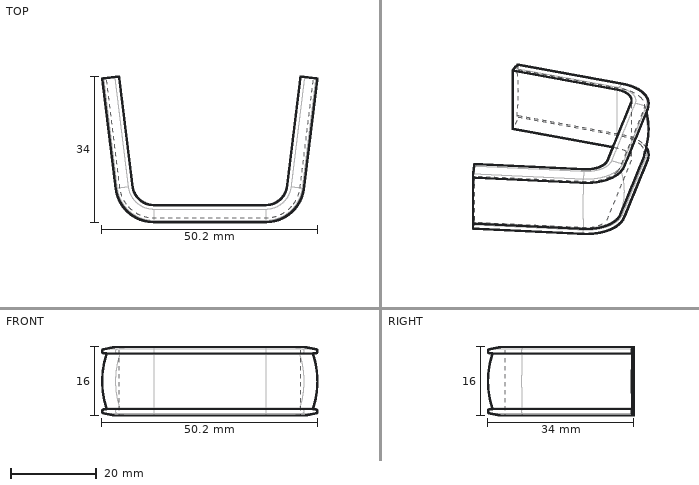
import cadquery as cq
import math

width = 50.25
depth = 34.0
height = 16.0

wall = 4.0
outer_bend_radius = 9.0
inner_bend_radius = outer_bend_radius - wall
leg_flare_degrees = 7.0
leg_flare = math.radians(leg_flare_degrees)

leg_rise = depth - outer_bend_radius + inner_bend_radius * math.sin(leg_flare)
leg_length = leg_rise / math.cos(leg_flare)
outer_reach = outer_bend_radius * math.cos(leg_flare) + leg_length * math.sin(leg_flare)
half_base = width / 2 - outer_reach

rim_flat = 1.0
lip_radius = 0.5
neck_height = 0.3
belly_radius = 20.1

half_height = height / 2
lip_center_out = wall - lip_radius
lip_center_up = half_height - 2 * lip_radius
lip_underside = lip_center_up - lip_radius
belly_half_height = lip_underside - neck_height
belly_bulge = belly_radius - math.sqrt(belly_radius**2 - belly_half_height**2)
neck_out = wall - belly_bulge


def lip_tangent_point():
    """Point (out, up) where the sloping rim meets the upper lip tangentially."""
    run = lip_center_out - rim_flat
    drop = half_height - lip_center_up
    slope = math.atan2(drop, run) - math.asin(lip_radius / math.hypot(run, drop))
    return (
        lip_center_out + lip_radius * math.sin(slope),
        lip_center_up + lip_radius * math.cos(slope),
    )


def wall_section():
    """Closed wall profile in the YZ plane, inner face at y = 0 and outer face toward -Y."""
    rim_out, rim_up = lip_tangent_point()
    return (
        cq.Workplane("YZ")
        .moveTo(0, -half_height)
        .lineTo(0, half_height)
        .lineTo(-rim_flat, half_height)
        .lineTo(-rim_out, rim_up)
        .threePointArc((-wall, lip_center_up), (-lip_center_out, lip_underside))
        .lineTo(-neck_out, lip_underside)
        .lineTo(-neck_out, belly_half_height)
        .threePointArc((-wall, 0), (-neck_out, -belly_half_height))
        .lineTo(-neck_out, -lip_underside)
        .lineTo(-lip_center_out, -lip_underside)
        .threePointArc((-wall, -lip_center_up), (-rim_out, -rim_up))
        .lineTo(-rim_flat, -half_height)
        .close()
    )


def right_half():
    """Half the base, one bend and one leg, with the same wall section throughout."""
    bend_degrees = 90 - leg_flare_degrees
    bend_axis = (half_base, inner_bend_radius, 0)
    axis_end = (half_base, inner_bend_radius, 1)

    base = wall_section().extrude(half_base)
    bend = (
        wall_section()
        .revolve(bend_degrees, (inner_bend_radius, 0, 0), (inner_bend_radius, 1, 0))
        .translate((half_base, 0, 0))
    )
    leg = (
        wall_section()
        .extrude(leg_length)
        .translate((half_base, 0, 0))
        .rotate(bend_axis, axis_end, bend_degrees)
    )
    return base.union(bend).union(leg)


half = right_half()
result = half.union(half.mirror("YZ"), clean=True)